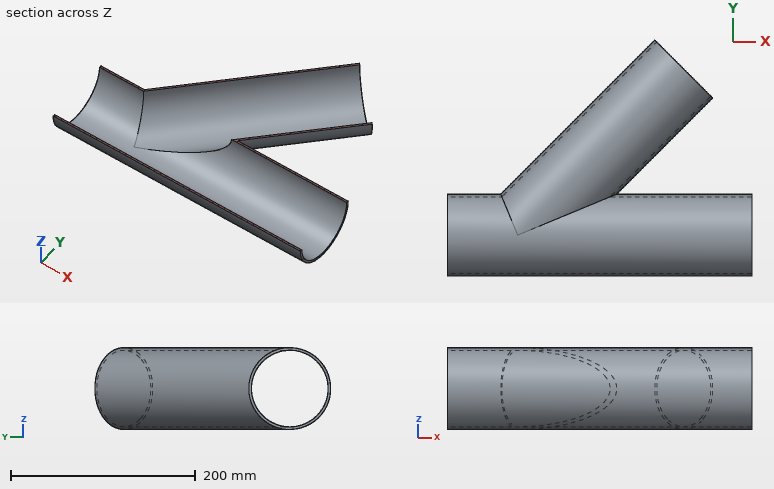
import cadquery as cq

pipe_length = 330.2
outer_diameter = 88.8
inner_diameter = 83.0

branch_angle = 45.0
branch_length = 254.3
branch_position = 76.3


def main_cylinder(diameter):
    """Full-length cylinder on the main axis, starting at the origin."""
    return cq.Workplane("YZ").circle(diameter / 2).extrude(pipe_length)


def branch_cylinder(diameter):
    """Cylinder on the branch axis, starting where the axes cross."""
    return (
        cq.Workplane("YZ")
        .circle(diameter / 2)
        .extrude(branch_length)
        .rotate((0, 0, 0), (0, 0, 1), branch_angle)
        .translate((branch_position, 0, 0))
    )


outer_body = main_cylinder(outer_diameter).union(branch_cylinder(outer_diameter))
result = outer_body.cut(main_cylinder(inner_diameter)).cut(branch_cylinder(inner_diameter))